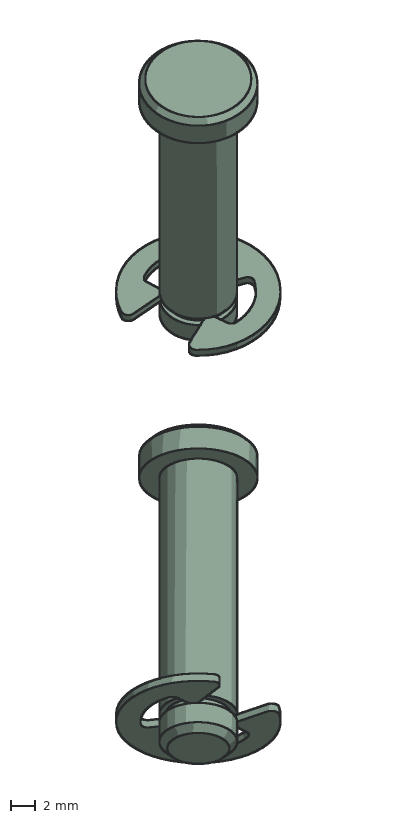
import cadquery as cq
import math

pin_length = 27.95
shaft_diameter = 6.35
shaft_radius = shaft_diameter / 2
head_diameter = 9.65
head_radius = head_diameter / 2
head_height = 2.55
head_chamfer = 0.5
end_chamfer = 0.65

groove_radius = 2.65
groove_bottom = 2.45
groove_top = 3.19
clip_thickness = 0.7
clip_bottom = groove_top - clip_thickness

clip_diameter = 13.38
clip_radius = clip_diameter / 2
relief_radius = 4.7
back_prong_half_angle = 33.0
prong_reach_angle = 128.0
prong_root_angle = 109.5
tip_angle = 153.7
relief_fillet = 0.55
tip_fillet = 0.61


def polar(radius, angle):
    """Point at an angle in degrees measured from +Y towards +X."""
    return (radius * math.sin(math.radians(angle)), radius * math.cos(math.radians(angle)))


def mirrored(point):
    return (-point[0], point[1])


def make_pin():
    head_bottom = pin_length - head_height
    profile = [
        (0, 0),
        (shaft_radius - end_chamfer, 0),
        (shaft_radius, end_chamfer),
        (shaft_radius, groove_bottom),
        (groove_radius, groove_bottom),
        (groove_radius, groove_top),
        (shaft_radius, groove_top),
        (shaft_radius, head_bottom),
        (head_radius, head_bottom),
        (head_radius, pin_length - head_chamfer),
        (head_radius - head_chamfer, pin_length),
        (0, pin_length),
    ]
    return cq.Workplane("XZ").polyline(profile).close().revolve(360, (0, 0), (0, 1))


def make_clip():
    tip = polar(clip_radius, tip_angle)
    prong_corner = polar(groove_radius, prong_reach_angle)
    prong_root = polar(relief_radius, prong_root_angle)
    relief_middle = polar(relief_radius, (back_prong_half_angle + prong_root_angle) / 2)
    back_root = polar(relief_radius, back_prong_half_angle)
    back_corner = polar(groove_radius, back_prong_half_angle)

    clip = (
        cq.Workplane("XY", origin=(0, 0, clip_bottom))
        .moveTo(*tip)
        .lineTo(*prong_corner)
        .lineTo(*prong_root)
        .threePointArc(relief_middle, back_root)
        .lineTo(*back_corner)
        .threePointArc((0, groove_radius), mirrored(back_corner))
        .lineTo(*mirrored(back_root))
        .threePointArc(mirrored(relief_middle), mirrored(prong_root))
        .lineTo(*mirrored(prong_corner))
        .lineTo(*mirrored(tip))
        .threePointArc((0, clip_radius), tip)
        .close()
        .extrude(clip_thickness)
    )
    clip = round_corners(clip, [prong_root, back_root], relief_fillet)
    return round_corners(clip, [tip], tip_fillet)


def round_corners(body, corners, radius):
    """Fillet the upright edges at the given corners and at their mirror images."""
    middle_z = clip_bottom + clip_thickness / 2
    points = corners + [mirrored(corner) for corner in corners]
    edges = cq.Workplane("XY")
    for x, y in points:
        edges = edges.add(body.edges(cq.NearestToPointSelector((x, y, middle_z))).val())
    return body.newObject([body.val().fillet(radius, edges.vals())])


pin = make_pin()
clip = make_clip()
result = cq.Compound.makeCompound([pin.val(), clip.val()])